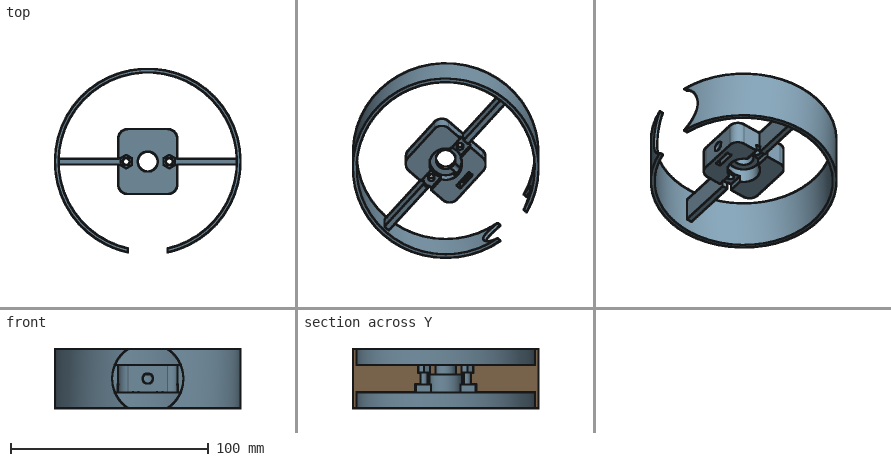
import cadquery as cq

ring_diameter = 94.0
ring_wall = 2.0
ring_height = 30.0
ring_radius = ring_diameter / 2
ring_inner_radius = ring_radius - ring_wall
window_diameter = 36.0

hub_width = 30.0
hub_depth = 33.0
hub_height = 14.0
hub_corner_radius = 5.0
spoke_thickness = 3.0
mid_z = ring_height / 2
hub_bottom = mid_z - hub_height / 2
hub_top = hub_bottom + hub_height

bore_diameter = 10.0
cavity_diameter = 16.4
cavity_top = mid_z + 2.0

channel_length = 30.7
channel_width = 7.0
channel_depth = 4.0

side_hole_diameter = 5.2
slot_front_wall = 2.5
slot_thickness = 2.4
slot_width = 9.4
slot_top = mid_z + slot_width / 2

screw_offset = 10.9
screw_diameter = 3.4
nut_corner_diameter = 6.8
nut_depth = 3.95


def cylinder(diameter, bottom, top, x=0):
    return cq.Workplane("XY", origin=(x, 0, bottom)).circle(diameter / 2).extrude(top - bottom)


def front_cylinder(diameter, length):
    """Cylinder from the Z axis toward -Y at mid-height."""
    return cq.Workplane("XZ", origin=(0, 0, mid_z)).circle(diameter / 2).extrude(length)


def make_ring():
    ring = cq.Workplane("XY").circle(ring_radius).circle(ring_inner_radius).extrude(ring_height)
    return ring.cut(front_cylinder(window_diameter, ring_diameter))


def make_hub_block(length_x, length_y, height, y=0):
    """Box standing on the level of the hub's underside."""
    return cq.Workplane("XY", origin=(0, y, hub_bottom)).rect(length_x, length_y).extrude(height)


def make_hub():
    hub = make_hub_block(hub_width, hub_depth, hub_height)
    return hub.edges("|Z").fillet(hub_corner_radius)


def make_spokes():
    length = 2 * ring_radius - ring_wall
    return make_hub_block(length, spoke_thickness, hub_height)


def make_nut_slot():
    slot_y = slot_front_wall + slot_thickness / 2 - hub_depth / 2
    return make_hub_block(slot_width, slot_thickness, slot_top - hub_bottom, slot_y)


def make_screw_cut(x):
    hole = cylinder(screw_diameter, hub_bottom, hub_top, x)
    nut = (
        cq.Workplane("XY", origin=(x, 0, hub_top - nut_depth))
        .transformed(rotate=(0, 0, 90))
        .polygon(6, nut_corner_diameter)
        .extrude(nut_depth)
    )
    return hole.union(nut)


body = make_ring().union(make_spokes()).union(make_hub())
body = body.cut(cylinder(bore_diameter, hub_bottom, hub_top))
body = body.cut(cylinder(cavity_diameter, hub_bottom, cavity_top))
body = body.cut(make_hub_block(channel_length, channel_width, channel_depth))
body = body.cut(front_cylinder(side_hole_diameter, hub_depth / 2))
body = body.cut(make_nut_slot())
for side in (-1, 1):
    body = body.cut(make_screw_cut(side * screw_offset))

result = body